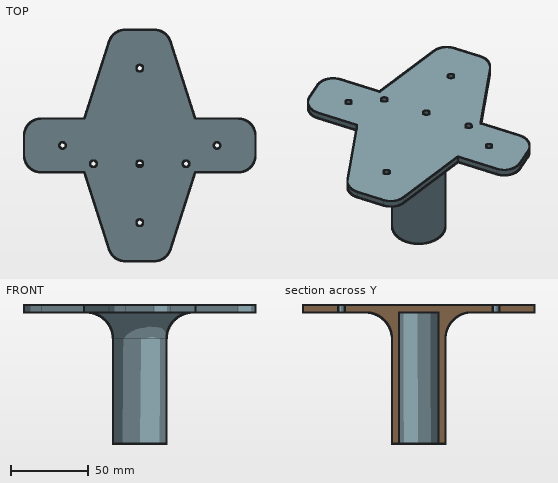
import cadquery as cq

span = 150.0
arm_width = 35.0
root_width = 71.8
corner_radius = 11.2
plate_thickness = 5.0

total_height = 90.0
stem_diameter = arm_width
bore_diameter = 25.5
flare_radius = 16.8

straight_arm_hole_diameter = 4.0
tapered_arm_hole_diameter = 4.2
arm_hole_offset = span / 3
row_hole_diameter = 4.2
row_hole_pitch = 30.0
row_offset_y = -11.8

plate_bottom = total_height - plate_thickness


def make_plate():
    """Two straight arms along X and two tapered arms along Y, with rounded tips."""
    straight_arms = (
        cq.Workplane("XY", origin=(0, 0, plate_bottom))
        .rect(span, arm_width)
        .extrude(plate_thickness)
        .edges("|Z")
        .fillet(corner_radius)
    )
    tip_x, tip_y = arm_width / 2, span / 2
    root_x, root_y = root_width / 2, arm_width / 2
    tapered_arms = (
        cq.Workplane("XY", origin=(0, 0, plate_bottom))
        .polyline([
            (-tip_x, -tip_y), (tip_x, -tip_y),
            (root_x, -root_y), (root_x, root_y),
            (tip_x, tip_y), (-tip_x, tip_y),
            (-root_x, root_y), (-root_x, -root_y),
        ])
        .close()
        .extrude(plate_thickness)
    )
    tip_corners = tapered_arms.faces("<Y or >Y").edges("|Z")
    return straight_arms.union(tip_corners.fillet(corner_radius))


def make_stem():
    """Tube that flares out with a quarter-round to meet the plate."""
    inner_radius = bore_diameter / 2
    outer_radius = stem_diameter / 2
    flare_start = plate_bottom - flare_radius
    flare_edge = outer_radius + flare_radius
    profile = (
        cq.Workplane("XZ")
        .moveTo(inner_radius, 0)
        .lineTo(outer_radius, 0)
        .lineTo(outer_radius, flare_start)
        .radiusArc((flare_edge, plate_bottom), flare_radius)
        .lineTo(inner_radius, plate_bottom)
        .close()
    )
    return profile.revolve(360, (0, 0, 0), (0, 1, 0))


def make_holes(points, diameter, depth):
    """Cutters that reach down from the top of the plate."""
    return (
        cq.Workplane("XY", origin=(0, 0, total_height))
        .pushPoints(points)
        .circle(diameter / 2)
        .extrude(-depth)
    )


straight_arm_hole_points = [(-arm_hole_offset, 0), (arm_hole_offset, 0)]
tapered_arm_hole_points = [(0, -arm_hole_offset), (0, arm_hole_offset)]
side_hole_points = [(-row_hole_pitch, row_offset_y), (row_hole_pitch, row_offset_y)]
center_hole_points = [(0, row_offset_y)]

plate = (
    make_plate()
    .cut(make_holes(straight_arm_hole_points, straight_arm_hole_diameter, plate_thickness))
    .cut(make_holes(tapered_arm_hole_points, tapered_arm_hole_diameter, plate_thickness))
    .cut(make_holes(center_hole_points, row_hole_diameter, plate_thickness))
)

side_holes = make_holes(side_hole_points, row_hole_diameter, plate_thickness + flare_radius)
result = plate.union(make_stem()).cut(side_holes)